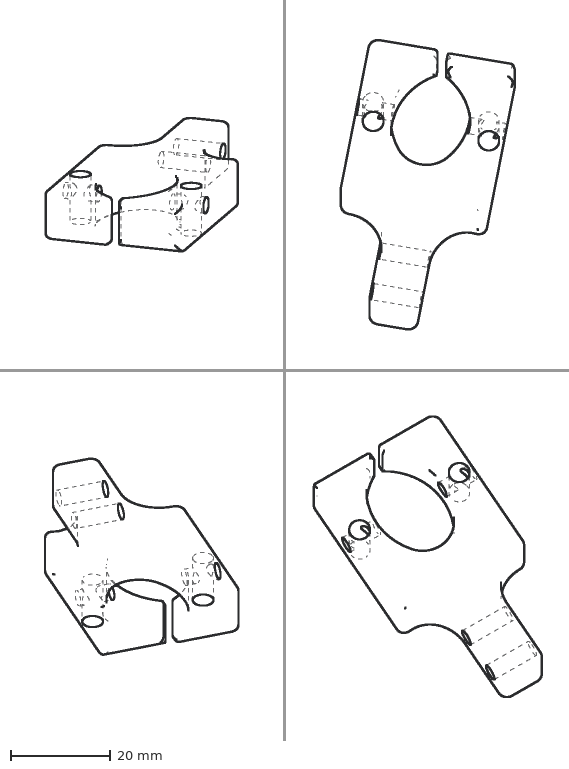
import cadquery as cq
import math

length = 57.8
body_width = 30.0
thickness = 10.0
tongue_width = 10.0
shoulder_y = 35.1

corner_radius = 2.0
edge_radius = 1.0
wide_edge_radius = 1.95
shoulder_radius = (body_width - tongue_width) / 2 - corner_radius

opening_half_width = 7.9
opening_center_y = 14.2
side_arc_radius = 14.0
top_arc_radius = 6.3
slot_width = 1.95

pin_hole_diameter = 4.2
pin_hole_x = 11.85
clamp_hole_y = 13.95
screw_hole_diameter = 3.3
clamp_screw_z = 6.25
tongue_hole_y = (43.65, 52.65)

clearance = 2.9
half_body = body_width / 2
half_tongue = tongue_width / 2


def make_plate():
    """Plate with rounded corners and concave shoulders between the body and the tongue."""
    corner_x = half_body - corner_radius
    tip_x = half_tongue - corner_radius
    return (
        cq.Workplane("XY")
        .moveTo(-corner_x, 0)
        .lineTo(corner_x, 0)
        .tangentArcPoint((corner_radius, corner_radius))
        .lineTo(half_body, shoulder_y - corner_radius)
        .tangentArcPoint((-corner_radius, corner_radius))
        .radiusArc((half_tongue, shoulder_y + shoulder_radius), shoulder_radius)
        .lineTo(half_tongue, length - corner_radius)
        .tangentArcPoint((-corner_radius, corner_radius))
        .lineTo(-tip_x, length)
        .tangentArcPoint((-corner_radius, -corner_radius))
        .lineTo(-half_tongue, shoulder_y + shoulder_radius)
        .radiusArc((-corner_x, shoulder_y), shoulder_radius)
        .tangentArcPoint((-corner_radius, -corner_radius))
        .lineTo(-half_body, corner_radius)
        .tangentArcPoint((corner_radius, -corner_radius))
        .close()
        .extrude(thickness)
    )


def make_opening():
    """Clamp opening and the slot that splits the front of the body."""
    side_center_x = side_arc_radius - opening_half_width
    center_rise = math.sqrt((side_arc_radius - top_arc_radius) ** 2 - side_center_x**2)
    top_center_y = opening_center_y + center_rise
    reach = top_arc_radius / (side_arc_radius - top_arc_radius)
    tangent_x = reach * side_center_x
    tangent_y = top_center_y + reach * center_rise
    slot_x = slot_width / 2
    slot_y = opening_center_y - math.sqrt(side_arc_radius**2 - (slot_x + side_center_x) ** 2)
    return (
        cq.Workplane("XY")
        .moveTo(-slot_x, -clearance)
        .lineTo(-slot_x, slot_y)
        .threePointArc((-opening_half_width, opening_center_y), (-tangent_x, tangent_y))
        .threePointArc((0, top_center_y + top_arc_radius), (tangent_x, tangent_y))
        .threePointArc((opening_half_width, opening_center_y), (slot_x, slot_y))
        .lineTo(slot_x, -clearance)
        .close()
        .extrude(thickness)
    )


def round_faces(body):
    """Round top and bottom edges; the +X shoulder rounding widens toward the body corner."""
    fillet = cq.occ_impl.shapes.BRepFilletAPI_MakeFillet(body.val().wrapped)
    joint_x = half_body - corner_radius
    corner_start_y = shoulder_y - corner_radius
    shoulder_end_y = shoulder_y + shoulder_radius
    for edge in body.faces("<Z or >Z").edges().vals():
        middle = edge.positionAt(0.5)
        on_shoulder = middle.x > half_tongue and shoulder_y < middle.y < shoulder_end_y
        on_corner = middle.x > joint_x and corner_start_y < middle.y < shoulder_y
        start_radius = edge_radius
        end_radius = edge_radius
        if on_shoulder or on_corner:
            starts_at_joint = abs(edge.startPoint().x - joint_x) < abs(edge.endPoint().x - joint_x)
            if starts_at_joint:
                start_radius = wide_edge_radius
            else:
                end_radius = wide_edge_radius
        fillet.Add(start_radius, end_radius, edge.wrapped)
    return cq.Workplane(cq.Shape.cast(fillet.Shape()))


def front_rounding():
    """Material removed to give the +X front jaw its wider rounding."""
    width = half_body + clearance
    block = cq.Workplane("XY").box(width, corner_radius, thickness, centered=False)
    rounded = (
        cq.Workplane("XY")
        .box(width, shoulder_y, thickness, centered=False)
        .edges("|X and <Y")
        .fillet(wide_edge_radius)
    )
    return block.cut(rounded)


def cross_hole(y, z):
    """Screw hole right through the part along X."""
    return (
        cq.Workplane("YZ")
        .center(y, z)
        .circle(screw_hole_diameter / 2)
        .extrude(half_body + clearance, both=True)
    )


body = make_plate().cut(make_opening())
slot_corners = cq.selectors.BoxSelector(
    (-slot_width, -clearance, 0),
    (slot_width, edge_radius, thickness),
)
body = body.edges("|Z").edges(slot_corners).fillet(edge_radius)
body = round_faces(body)
body = body.cut(front_rounding())

for side in (-1, 1):
    body = body.cut(
        cq.Workplane("XY")
        .center(side * pin_hole_x, clamp_hole_y)
        .circle(pin_hole_diameter / 2)
        .extrude(thickness)
    )

body = body.cut(cross_hole(clamp_hole_y, clamp_screw_z))
for hole_y in tongue_hole_y:
    body = body.cut(cross_hole(hole_y, thickness / 2))

result = cq.Workplane(body.solids().val())